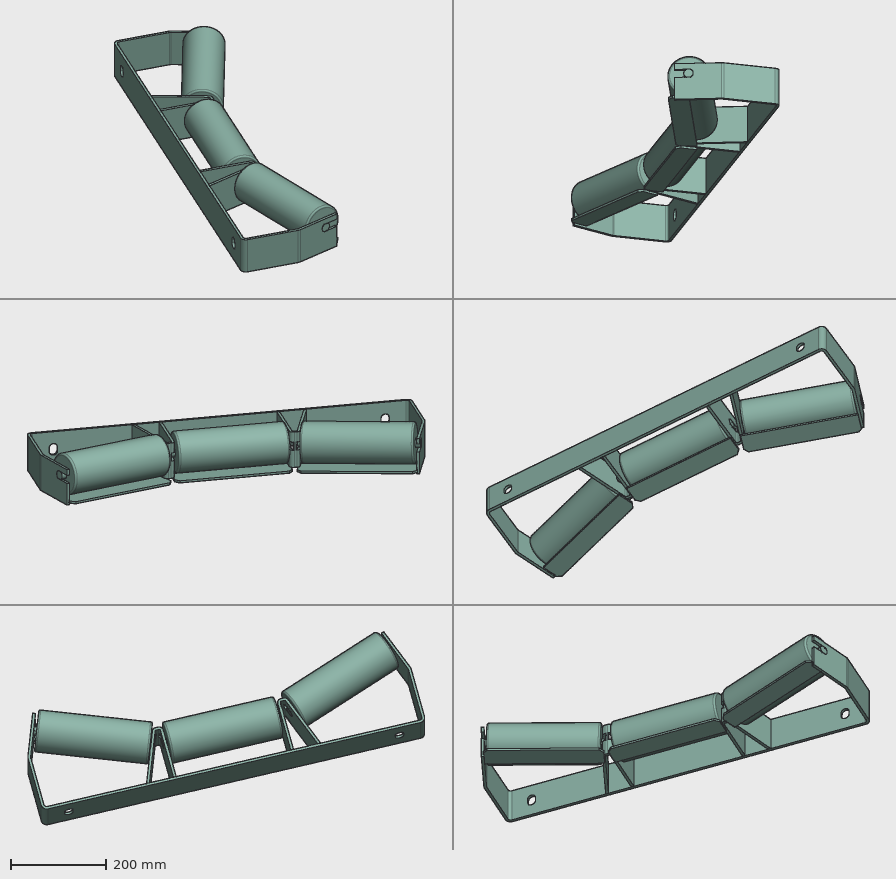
import cadquery as cq
import math

frame_length = 830.0
strip_height = 80.0
strip_thickness = 6.0
corner_bend_radius = 6.0
wing_bend_radius = 9.0
wing_bend_y = 126.5
wing_end_y = 222.0
trough_angle = 20.0

roller_diameter = 89.0
roller_length = 240.0
roller_edge_radius = 4.0
side_roller_shift = 1.5
shaft_diameter = 20.0
shaft_flats = 18.0
slot_run = 90.0
slot_overcut = 2.0
support_gap = 248.0
middle_axis_y = 100.0
side_axis_offset = 48.9
inner_shaft_z = 8.0
outer_shaft_z = 18.0

bracket_top_y = 126.0
bracket_bend_radius = 3.0

plate_thickness = 5.0
plate_below_axis = 1.0
plate_above_axis = 43.0
plate_corner = 9.0

mount_slot_spacing = 716.0
mount_slot_width = 18.0
mount_slot_height = 26.0

lean = math.radians(trough_angle)
half_length = frame_length / 2
half_gap = support_gap / 2
support_spacing = support_gap + strip_thickness
shaft_length = support_gap + 2 * strip_thickness
forward_tilt = math.degrees(math.asin((outer_shaft_z - inner_shaft_z) / support_spacing))
side_axis_z = (inner_shaft_z + outer_shaft_z) / 2

wing_inner_face = -half_length * math.cos(lean) - wing_bend_y * math.sin(lean) + strip_thickness
side_roller_centre = wing_inner_face + half_gap
leaning_leg_face = wing_inner_face + support_gap


def offset_path(points, distance):
    """Shift an open path sideways to its left, keeping the corners mitred."""
    normals = []
    for (x0, y0), (x1, y1) in zip(points, points[1:]):
        length = math.hypot(x1 - x0, y1 - y0)
        normals.append(((y0 - y1) / length, (x1 - x0) / length))
    shifted = []
    for index, (x, y) in enumerate(points):
        before = normals[max(index - 1, 0)]
        after = normals[min(index, len(normals) - 1)]
        scale = distance / (1 + before[0] * after[0] + before[1] * after[1])
        shifted.append((x + scale * (before[0] + after[0]), y + scale * (before[1] + after[1])))
    return shifted


def round_corner(strip, corner, radius):
    return strip.edges(cq.selectors.NearestToPointSelector((*corner, 0))).fillet(radius)


def bent_strip(outer_path, inside_radii):
    """Flat strip standing on edge, bent along a path; the strip lies to the left of it."""
    inner_path = offset_path(outer_path, strip_thickness)
    strip = (
        cq.Workplane("XY")
        .polyline(outer_path + inner_path[::-1])
        .close()
        .extrude(strip_height / 2, both=True)
    )
    for outer, inner, radius in zip(outer_path[1:-1], inner_path[1:-1], inside_radii):
        strip = round_corner(strip, inner, radius)
        strip = round_corner(strip, outer, radius + strip_thickness)
    return strip


def at_middle(body):
    return body.translate((0, middle_axis_y, inner_shaft_z))


def at_left(body):
    tilted = body.rotate((0, 0, 0), (0, 1, 0), forward_tilt)
    placed = tilted.translate((side_roller_centre, side_axis_offset, side_axis_z))
    return placed.rotate((0, 0, 0), (0, 0, 1), -trough_angle)


def at_right(body):
    return at_left(body).mirror("YZ")


def axial_cylinder(diameter, length):
    """Cylinder along local X, centred on the origin."""
    profile = cq.Workplane("YZ").workplane(offset=-length / 2).circle(diameter / 2)
    return profile.extrude(length)


def flatted_shaft(length):
    """Shaft with a flat along its top and its bottom."""
    flats = cq.Workplane("XY").box(length, shaft_diameter, shaft_flats)
    return axial_cylinder(shaft_diameter, length).intersect(flats)


def make_roller(shift):
    """Tube with rounded ends and a shaft that ends flush with the outside of its supports."""
    tube = axial_cylinder(roller_diameter, roller_length)
    tube = tube.faces("<X or >X").edges().fillet(roller_edge_radius)
    return tube.translate((shift, 0, 0)).union(flatted_shaft(shaft_length))


def make_shaft_slots():
    """Cutter for the pair of open slots that carry a shaft."""
    cut_length = strip_thickness + 2 * slot_overcut
    channel = (
        cq.Workplane("XY")
        .box(cut_length, slot_run, shaft_flats)
        .translate((0, slot_run / 2, 0))
    )
    slot = flatted_shaft(cut_length).union(channel)
    slot_centre = support_spacing / 2
    return slot.translate((-slot_centre, 0, 0)).union(slot.translate((slot_centre, 0, 0)))


def make_plate(shift):
    """Flat plate beside a roller, touching the lower edge of the bracket legs."""
    top = -(inner_shaft_z + strip_height / 2)
    width = plate_below_axis + plate_above_axis
    return (
        cq.Workplane("XY")
        .box(support_spacing, width, plate_thickness)
        .edges("|Z and >Y")
        .chamfer(plate_corner)
        .translate((shift, width / 2 - plate_below_axis, top - plate_thickness / 2))
    )


def make_frame():
    wing_rise = wing_end_y - wing_bend_y
    left_half = [
        (-half_length + wing_rise * math.tan(lean), wing_end_y),
        (-half_length, wing_bend_y),
        (-half_length, 0),
    ]
    right_half = [(-x, y) for x, y in reversed(left_half)]
    bend_radii = [wing_bend_radius, corner_bend_radius, corner_bend_radius, wing_bend_radius]
    frame = bent_strip(left_half + right_half, bend_radii)
    mount_slots = (
        cq.Workplane("XZ")
        .pushPoints([(-mount_slot_spacing / 2, 0), (mount_slot_spacing / 2, 0)])
        .slot2D(mount_slot_height, mount_slot_width, 90)
        .extrude(-strip_thickness)
    )
    return frame.cut(mount_slots)


def make_left_bracket():
    """Strip with a leaning leg, a short web and an upright leg, standing on the frame base."""
    def leaning_x(y):
        return leaning_leg_face / math.cos(lean) + y * math.tan(lean)

    path = [
        (-half_gap, 0),
        (-half_gap, bracket_top_y),
        (leaning_x(bracket_top_y), bracket_top_y),
        (leaning_x(0), 0),
    ]
    bracket = bent_strip(path, [bracket_bend_radius, bracket_bend_radius])
    base = cq.Workplane("XY").box(frame_length, 2 * strip_thickness, strip_height)
    return bracket.cut(base)


stations = (
    (at_left, side_roller_shift, strip_thickness / 2),
    (at_middle, 0, 0),
    (at_right, side_roller_shift, strip_thickness / 2),
)

rollers = [place(make_roller(roller_shift)) for place, roller_shift, _ in stations]
plates = [place(make_plate(plate_shift)) for place, _, plate_shift in stations]

frame = make_frame()
left_bracket = make_left_bracket()
brackets = [left_bracket, left_bracket.mirror("YZ")]
for place, _, _ in stations:
    slots = place(make_shaft_slots())
    frame = frame.cut(slots)
    brackets = [bracket.cut(slots) for bracket in brackets]

for support in (frame, *brackets):
    plates = [plate.cut(support) for plate in plates]

bodies = [frame, *brackets, *rollers, *plates]
result = cq.Compound.makeCompound([body.val() for body in bodies])